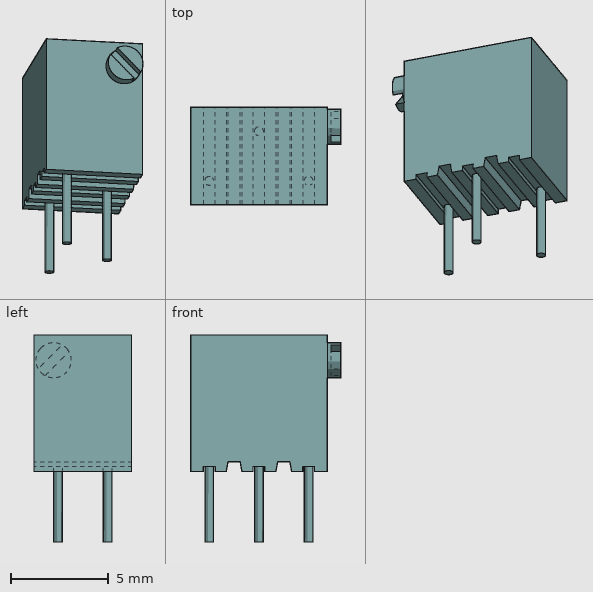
import cadquery as cq

HOUSING_LENGTH = 7.0
HOUSING_WIDTH = 5.0
HOUSING_HEIGHT = 7.0

OVERALL_HEIGHT = 10.6
PIN_COUNT = 3
PIN_DIAMETER = 0.46
PIN_PITCH = 2.54
ROW_SPACING = PIN_PITCH
PIN_TIP_Z = HOUSING_HEIGHT - OVERALL_HEIGHT
FIRST_PIN_X = HOUSING_LENGTH / 2 - PIN_PITCH * (PIN_COUNT - 1) / 2
FRONT_ROW_Y = (HOUSING_WIDTH - ROW_SPACING) / 2
REAR_ROW_Y = FRONT_ROW_Y + ROW_SPACING

PIN_CHANNEL_WIDTH = 0.59
PIN_CHANNEL_DEPTH = 0.25
RELIEF_MOUTH_WIDTH = 0.8
RELIEF_ROOF_WIDTH = 0.61
RELIEF_DEPTH = 0.5

SCREW_DIAMETER = 1.8
SCREW_LENGTH = 0.7
SCREW_Y = HOUSING_WIDTH - 1.01
SCREW_Z = HOUSING_HEIGHT - 1.29
SLOT_WIDTH = 0.5
SLOT_DEPTH = 0.5
SLOT_ANGLE = 45


def make_channel(center_x, mouth_width, roof_width, depth):
    """Cutter for a symmetric channel running across the whole underside."""
    return (
        cq.Workplane("XZ", origin=(center_x, 0, 0))
        .moveTo(-mouth_width / 2, 0)
        .lineTo(mouth_width / 2, 0)
        .lineTo(roof_width / 2, depth)
        .lineTo(-roof_width / 2, depth)
        .close()
        .extrude(-HOUSING_WIDTH)
    )


def make_housing():
    """Block with a square channel at each pin and a tapered one between pins."""
    body = cq.Workplane("XY").box(HOUSING_LENGTH, HOUSING_WIDTH, HOUSING_HEIGHT, centered=False)
    for index in range(PIN_COUNT):
        x = FIRST_PIN_X + index * PIN_PITCH
        body = body.cut(make_channel(x, PIN_CHANNEL_WIDTH, PIN_CHANNEL_WIDTH, PIN_CHANNEL_DEPTH))
    for index in range(PIN_COUNT - 1):
        x = FIRST_PIN_X + (index + 0.5) * PIN_PITCH
        body = body.cut(make_channel(x, RELIEF_MOUTH_WIDTH, RELIEF_ROOF_WIDTH, RELIEF_DEPTH))
    return body.solids()


def make_pin(index):
    """Round pin hanging from its channel roof; odd pins stand in the rear row."""
    x = FIRST_PIN_X + index * PIN_PITCH
    y = REAR_ROW_Y if index % 2 else FRONT_ROW_Y
    return (
        cq.Workplane("XY", origin=(x, y, PIN_TIP_Z))
        .circle(PIN_DIAMETER / 2)
        .extrude(PIN_CHANNEL_DEPTH - PIN_TIP_Z)
    )


def make_screw():
    """Round screw head with a diagonal screwdriver slot, high at the -Y end."""
    head = (
        cq.Workplane("YZ", origin=(HOUSING_LENGTH, SCREW_Y, SCREW_Z))
        .circle(SCREW_DIAMETER / 2)
        .extrude(SCREW_LENGTH)
    )
    slot = (
        cq.Workplane("YZ", origin=(HOUSING_LENGTH + SCREW_LENGTH, SCREW_Y, SCREW_Z))
        .transformed(rotate=(0, 0, -SLOT_ANGLE))
        .rect(2 * SCREW_DIAMETER, SLOT_WIDTH)
        .extrude(-SLOT_DEPTH)
    )
    return head.cut(slot).solids()


housing = make_housing()
screw = make_screw()
pins = [make_pin(index) for index in range(PIN_COUNT)]

result = cq.Compound.makeCompound([housing.val(), screw.val(), *[pin.val() for pin in pins]])